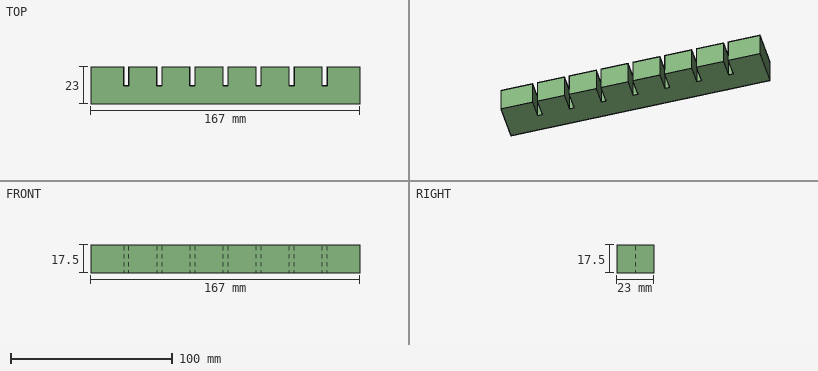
import cadquery as cq

end_block_length = 20.5
tooth_length = 17.5
bar_depth = 23.0
bar_height = 17.5

slot_count = 7
slot_width = 3.0
slot_depth = bar_depth / 2

slot_pitch = tooth_length + slot_width
bar_length = 2 * end_block_length + slot_count * slot_width + (slot_count - 1) * tooth_length


def make_bar():
    """Rectangular bar with one corner at the origin."""
    return cq.Workplane("XY").box(bar_length, bar_depth, bar_height, centered=False)


def make_slot(index):
    """Cutter for one slot, counted from the -X end of the bar."""
    slot_start = end_block_length + index * slot_pitch
    return (
        cq.Workplane("XY")
        .box(slot_width, slot_depth, bar_height, centered=False)
        .translate((slot_start, bar_depth - slot_depth, 0))
    )


result = make_bar()
for slot_index in range(slot_count):
    result = result.cut(make_slot(slot_index))